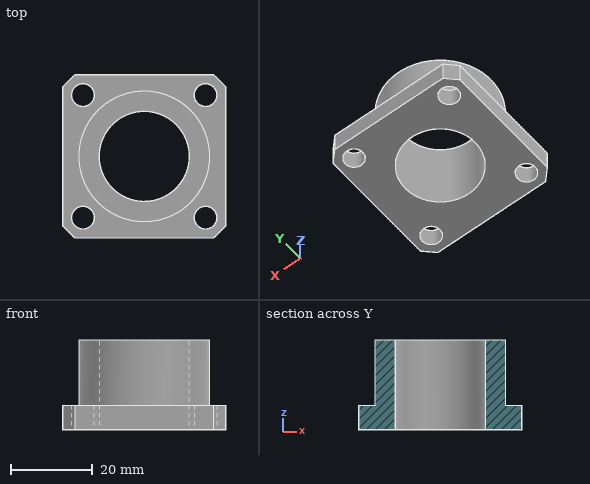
import cadquery as cq

flange_side = 40.0
flange_thickness = 6.0
corner_chamfer = 3.0

total_height = 22.0
hub_diameter = 32.0
bore_diameter = 22.0

hole_diameter = 5.5
hole_spacing = 30.0


def make_flange():
    """Square plate with its bottom on Z = 0 and its four corners cut off."""
    plate = cq.Workplane("XY").rect(flange_side, flange_side).extrude(flange_thickness)
    return plate.edges("|Z").chamfer(corner_chamfer)


def make_hub():
    """Solid cylinder from the bottom of the flange to the top of the part."""
    return cq.Workplane("XY").circle(hub_diameter / 2).extrude(total_height)


def make_bore():
    """Cutter for the central bore, which passes through the whole part."""
    return cq.Workplane("XY").circle(bore_diameter / 2).extrude(total_height)


def make_mounting_holes():
    """Cutters for the through holes near the four corners of the flange."""
    return (
        cq.Workplane("XY")
        .rect(hole_spacing, hole_spacing, forConstruction=True)
        .vertices()
        .circle(hole_diameter / 2)
        .extrude(flange_thickness)
    )


result = make_flange().union(make_hub()).cut(make_bore()).cut(make_mounting_holes())